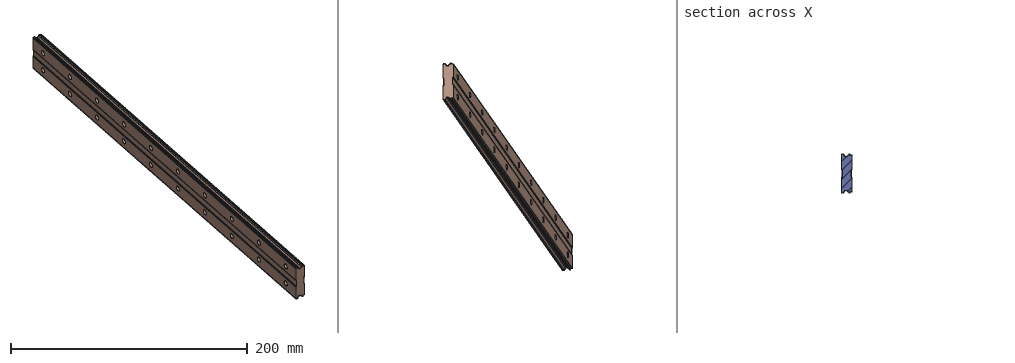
import cadquery as cq

LENGTH = 390.0
THICKNESS = 9.0
HEIGHT = 33.0

RELIEF_FLOOR_HEIGHT = 6.0
RELIEF_DEPTH = 0.5

FRONT_CHAMFER = 0.5
FRONT_LIP_THICKNESS = 1.85

GROOVE_DEPTH = 2.15
GROOVE_FLOOR_WIDTH = 1.35
FRONT_WALL_RUN = 1.25
BACK_SLOPE_RUN = 1.25

COVE_WIDTH = 0.8
COVE_RADIUS = 0.85

BACK_LIP_THICKNESS = 0.9
STEP_DEPTH = 1.0

HOLE_DIAMETER = 4.5
HOLE_PITCH = 40.0
HOLES_PER_ROW = 10
ROW_SPACING = 18.0
ROW_COUNT = 2


def make_upper_half():
    """Extrude the section above the middle plane along the length."""
    front = -THICKNESS / 2
    back = THICKNESS / 2
    top = HEIGHT / 2
    relief_floor_end = RELIEF_FLOOR_HEIGHT / 2
    relief_end = relief_floor_end + RELIEF_DEPTH
    groove_floor = top - GROOVE_DEPTH
    front_wall_top = front + FRONT_LIP_THICKNESS
    floor_front = front_wall_top + FRONT_WALL_RUN
    floor_back = floor_front + GROOVE_FLOOR_WIDTH
    cove_start = floor_back + BACK_SLOPE_RUN
    lip_front = cove_start + COVE_WIDTH
    lip_back = lip_front + BACK_LIP_THICKNESS

    return (
        cq.Workplane("YZ")
        .moveTo(front + RELIEF_DEPTH, 0)
        .lineTo(front + RELIEF_DEPTH, relief_floor_end)
        .lineTo(front, relief_end)
        .lineTo(front, top - FRONT_CHAMFER)
        .lineTo(front + FRONT_CHAMFER, top)
        .lineTo(front_wall_top, top)
        .lineTo(floor_front, groove_floor)
        .lineTo(floor_back, groove_floor)
        .lineTo(cove_start, groove_floor + BACK_SLOPE_RUN)
        .radiusArc((lip_front, top), -COVE_RADIUS)
        .lineTo(lip_back, top)
        .lineTo(lip_back, top - STEP_DEPTH)
        .lineTo(back, top - STEP_DEPTH)
        .lineTo(back, relief_end)
        .lineTo(back - RELIEF_DEPTH, relief_floor_end)
        .lineTo(back - RELIEF_DEPTH, 0)
        .close()
        .extrude(LENGTH / 2, both=True)
    )


def make_bar():
    """Join the upper half to its mirror image below the middle plane."""
    upper_half = make_upper_half()
    return upper_half.union(upper_half.mirror("XY")).clean()


def drill_holes(bar):
    """Drill both rows of holes straight through from front to back."""
    drills = (
        cq.Workplane("XZ", origin=(0, THICKNESS / 2, 0))
        .rarray(HOLE_PITCH, ROW_SPACING, HOLES_PER_ROW, ROW_COUNT)
        .circle(HOLE_DIAMETER / 2)
        .extrude(THICKNESS)
    )
    return bar.cut(drills)


result = drill_holes(make_bar())